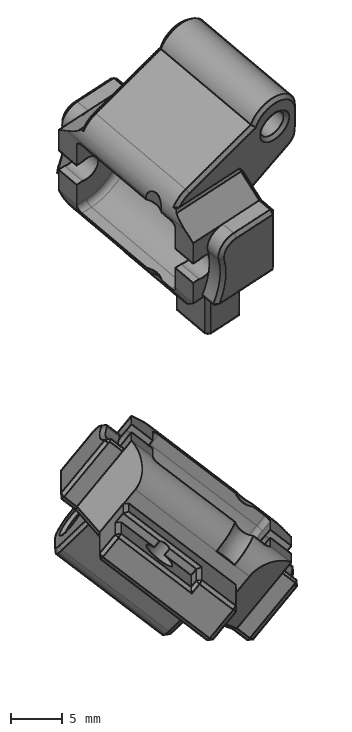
import cadquery as cq
import math

edge_chamfer = 0.4
overall_height = 28.3

body_depth = 9.0
body_half_width = 10.0
body_bottom = 7.79
body_top = 21.8
body_corner_radius = 3.0
body_bottom_half_width = 7.13
side_bottom = 10.8
side_top = 19.53
shoulder_half_width = 7.28
shoulder_height = 21.5

ear_half_span = 12.0
ear_depth = 6.9
ear_toe_depth = 7.98
ear_corner_radius = 2.0

axis_height = 15.15
axis_depth = 7.7
pocket_radius = 4.98
pocket_half_width = 7.33
pocket_fillet = 0.68
pin_diameter = 3.0
pin_slot_height = 2.8

arm_half_width = 7.08
eye_radius = 3.0
eye_y = 4.15
eye_z = overall_height - eye_radius
hinge_hole_z = 24.6
hinge_hole_diameter = 3.0
roof_angle = math.radians(21)
roof_front_height = 22.5
underside_angle = math.radians(30)
underside_root_height = 16.82
arm_heel_radius = 2.0
arm_root_radius = 3.0

tail_left = -7.15
tail_right = 7.0
tail_depth = 4.5
tail_overlap = 1.13
recess_floor_depth = 3.28
recess_right = 1.98
recess_top = 4.5
tail_hole_x = -1.98
tail_hole_z = 3.0
tail_hole_diameter = 3.25

groove_x = 4.13
groove_radius = 2.2
groove_depth = 0.3
groove_bend_degrees = 90


def extrude_along_x(profile, x_start, x_end):
    """Extrude a closed (Y, Z) profile between two X positions."""
    return profile.extrude(x_end - x_start).translate((x_start, 0, 0))


def extrude_to_front(outline, y_back, y_front):
    """Extrude a closed (X, Z) outline from y_back forward to y_front."""
    return outline.extrude(y_back - y_front).translate((0, y_back, 0))


def cylinder_x(radius, half_length, y, z):
    """Cylinder along X, centred on X = 0, with its axis at (y, z)."""
    profile = cq.Workplane("YZ").center(y, z).circle(radius)
    return extrude_along_x(profile, -half_length, half_length)


def fillet_edge_near(solid, y, z, radius):
    """Round the X-parallel edge at (y, z)."""
    return solid.edges("|X").edges(cq.NearestToPointSelector((0, y, z))).fillet(radius)


def make_front_envelope():
    """Side profile of the body: sloped roof and rounded front corners."""
    roof_back_height = roof_front_height + body_depth * math.tan(roof_angle)
    profile = cq.Workplane("YZ").polyline([
        (0, body_bottom),
        (-body_depth, body_bottom),
        (-body_depth, roof_front_height),
        (0, roof_back_height),
    ]).close()
    envelope = extrude_along_x(profile, -body_half_width, body_half_width)
    envelope = fillet_edge_near(envelope, -body_depth, body_bottom, body_corner_radius)
    return fillet_edge_near(envelope, -body_depth, roof_front_height, body_corner_radius)


def make_ears():
    """Bar across both ears; its front is hollowed by an arc, with a rounded upper corner."""
    ear_rise = axis_height - side_bottom
    toe_reach = ear_toe_depth - ear_depth
    hollow_radius = (ear_rise**2 + toe_reach**2) / (2 * toe_reach)
    bar = cq.Workplane("XY").box(2 * ear_half_span, body_depth, side_top - side_bottom)
    bar = bar.translate((0, -body_depth / 2, (side_top + side_bottom) / 2))
    hollow = cylinder_x(hollow_radius, ear_half_span, -ear_depth - hollow_radius, axis_height)
    bar = bar.cut(hollow)
    return fillet_edge_near(bar, -ear_toe_depth, side_top, ear_corner_radius)


def make_body():
    """Eight-sided block with both ears, bevelled at the back, on the ear sides and at the ear toes."""
    right_side = [
        (body_bottom_half_width, body_bottom),
        (body_half_width, side_bottom),
        (body_half_width, side_top),
        (shoulder_half_width, shoulder_height),
        (arm_half_width, body_top),
    ]
    left_side = [(-x, z) for x, z in reversed(right_side)]
    outline = cq.Workplane("XZ").polyline(right_side + left_side).close()
    block = extrude_to_front(outline, 0, -body_depth)
    body = block.intersect(make_front_envelope()).union(make_ears())
    outer_edges = body.faces(">Y or >X or <X").edges()
    ear_middle = (body_half_width + ear_half_span) / 2
    for x in (-ear_middle, ear_middle):
        toe_tip = cq.NearestToPointSelector((x, -ear_toe_depth, side_bottom))
        outer_edges = outer_edges.add(body.edges("|X").edges(toe_tip))
    return outer_edges.chamfer(edge_chamfer)


def make_arm():
    """Arm that reaches up and back from the body to a hinge eye with a countersunk hole."""
    eye_dy = eye_y + body_depth
    eye_dz = eye_z - roof_front_height
    along = eye_dy * math.cos(roof_angle) + eye_dz * math.sin(roof_angle)
    across = eye_dz * math.cos(roof_angle) - eye_dy * math.sin(roof_angle)
    roof_length = along - math.sqrt(eye_radius**2 - across**2)
    roof_end = (
        -body_depth + roof_length * math.cos(roof_angle),
        roof_front_height + roof_length * math.sin(roof_angle),
    )
    arm_back = eye_y + eye_radius
    heel_height = underside_root_height + arm_back * math.tan(underside_angle)
    profile = (
        cq.Workplane("YZ")
        .moveTo(-body_depth, axis_height)
        .lineTo(-body_depth, roof_front_height)
        .lineTo(*roof_end)
        .threePointArc((eye_y, eye_z + eye_radius), (arm_back, eye_z))
        .lineTo(arm_back, heel_height)
        .lineTo(0, underside_root_height)
        .lineTo(0, side_bottom)
        .close()
    )
    arm = extrude_along_x(profile, -arm_half_width, arm_half_width)
    arm = fillet_edge_near(arm, -body_depth, roof_front_height, body_corner_radius)
    arm = fillet_edge_near(arm, arm_back, heel_height, arm_heel_radius)
    arm = fillet_edge_near(arm, 0, underside_root_height, arm_root_radius)
    arm = arm.faces("<X or >X").edges().chamfer(edge_chamfer)
    hole = cylinder_x(hinge_hole_diameter / 2, arm_half_width, eye_y, hinge_hole_z)
    arm = arm.cut(hole)
    hole_rims = arm.faces("<X or >X").edges("%CIRCLE").edges(cq.selectors.RadiusNthSelector(0))
    return hole_rims.chamfer(edge_chamfer)


def make_tail():
    """Plate below the body: a thin base, a raised step around the recess and a through hole."""
    tail_top = body_bottom + tail_overlap
    plate_outline = cq.Workplane("XZ").polyline([
        (tail_left, 0),
        (tail_right, 0),
        (tail_right, tail_top),
        (tail_left, tail_top),
    ]).close()
    plate = extrude_to_front(plate_outline, 0, -recess_floor_depth).edges().chamfer(edge_chamfer)

    raised_outline = cq.Workplane("XZ").polyline([
        (recess_right, 0),
        (tail_right, 0),
        (tail_right, tail_top),
        (tail_left, tail_top),
        (tail_left, recess_top),
        (recess_right, recess_top),
    ]).close()
    raised = extrude_to_front(raised_outline, -edge_chamfer, -tail_depth)
    raised = raised.faces("<Y or <Z").edges().chamfer(edge_chamfer)
    hole_outline = cq.Workplane("XZ").center(tail_hole_x, tail_hole_z).circle(tail_hole_diameter / 2)
    return plate.union(raised).cut(extrude_to_front(hole_outline, 0, -tail_depth))


def make_pocket():
    """Roller pocket: half-round at the back, straight out to the front, rounded at both ends."""
    roller = cylinder_x(pocket_radius, pocket_half_width, -axis_depth, axis_height)
    mouth = cq.Workplane("XY").box(2 * pocket_half_width, body_depth, 2 * pocket_radius)
    mouth = mouth.translate((0, -axis_depth - body_depth / 2, axis_height))
    return roller.union(mouth).faces("<X or >X").edges().fillet(pocket_fillet)


def make_pin_seat():
    """Round pin seat opened to the front by a slightly narrower slot."""
    seat = cylinder_x(pin_diameter / 2, body_half_width, -axis_depth, axis_height)
    slot = cq.Workplane("XY").box(2 * body_half_width, body_depth, pin_slot_height)
    return seat.union(slot.translate((0, -axis_depth - body_depth / 2, axis_height)))


def make_groove():
    """Round-bottomed groove: straight down the front, then bent around the lower body corner."""
    bend_y = -body_depth + body_corner_radius
    bend_z = body_bottom + body_corner_radius
    groove_y = -body_depth + groove_depth - groove_radius
    bend_radius = bend_y - groove_y
    plane = cq.Workplane("XY", origin=(groove_x, groove_y, bend_z))
    straight = plane.circle(groove_radius).extrude(body_top - bend_z)
    bend = plane.circle(groove_radius).revolve(
        groove_bend_degrees, (0, bend_radius, 0), (1, bend_radius, 0)
    )
    return straight.union(bend)


result = make_body().union(make_arm()).union(make_tail())
result = result.cut(make_pocket()).cut(make_pin_seat()).cut(make_groove())